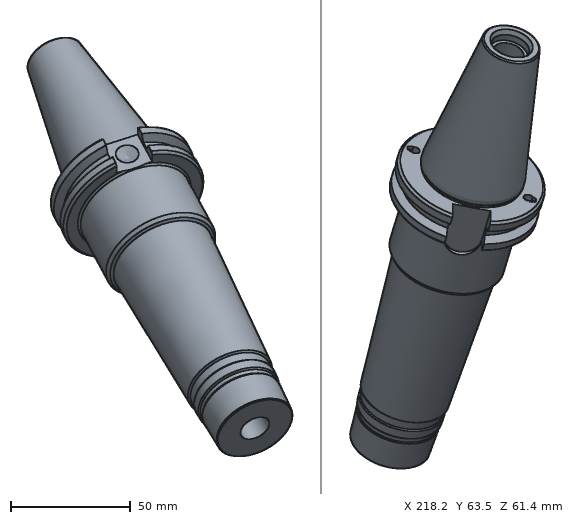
import cadquery as cq
import math

LENGTH = 218.2
TAPER_END = 67.7
FLANGE_START = 71.4
FLANGE_END = 87.3
COLLAR_END = 118.3
BODY_END = 191.2

GAUGE_DIAMETER = 44.5
TAPER_RATIO = 7 / 24
SHANK_CHAMFER = 0.7
RELIEF_DIAMETER = 43.6
RELIEF_START = 70.0

FLANGE_DIAMETER = 63.5
FLANGE_CHAMFER = 1.0
GROOVE_DIAMETER = 56.0
GROOVE_CENTRE = 79.5
GROOVE_FLOOR_WIDTH = 3.5
GROOVE_RIM_WIDTH = 7.0

COLLAR_DIAMETER = 49.5
COLLAR_ROOT_BEVEL = 0.9
COLLAR_EDGE_LENGTH = 1.7
COLLAR_EDGE_DROP = 1.0
COLLAR_SHOULDER_LENGTH = 0.7
BODY_START_DIAMETER = 44.7
BODY_END_DIAMETER = 38.2

NOSE_INSET = 0.7
NOSE_CHAMFER = 0.5
RING_FLANK_LENGTH = 0.7
WIDE_RING_END = 196.5
WIDE_RING_INSET = 0.9
NARROW_RING_START = 200.5
NARROW_RING_END = 203.8
NARROW_RING_INSET = 0.98
LAND_INSET = 0.33

BORE_DIAMETER = 13.0
COUNTERBORE_DIAMETER = 16.4
COUNTERBORE_DEPTH = 5.2
BORE_MOUTH_DIAMETER = 18.3
BORE_MOUTH_DEPTH = 2.2

SLOT_WIDTH = 16.2
UPPER_SLOT_FLOOR = 25.0
LOWER_SLOT_FLOOR = 22.7
DIMPLE_DIAMETER = 9.5
DRILL_POINT_ANGLE = 118

COOLANT_TILT = 20
FACE_HOLE_DIAMETER = 4.1
FACE_HOLE_RADIUS = 26.0
FACE_HOLE_DEPTH = 4.0
SIDE_HOLE_DIAMETER = 3.3
SIDE_HOLE_RADIUS = 27.7
SIDE_HOLE_DEPTH = 1.7
GROOVE_HOLE_DIAMETER = 4.0
GROOVE_HOLE_FLOOR_RADIUS = 25.8


def body_radius(x, inset=0.0):
    """Radius of the body taper at station x, reduced by an inset."""
    slope = (BODY_START_DIAMETER - BODY_END_DIAMETER) / 2 / (BODY_END - COLLAR_END)
    return BODY_START_DIAMETER / 2 - slope * (x - COLLAR_END) - inset


def revolve_about_x(points):
    """Turn an (x, radius) outline about the X axis."""
    return cq.Workplane("XY").polyline(points).close().revolve(360, (0, 0, 0), (1, 0, 0))


def turned_blank():
    gauge_radius = GAUGE_DIAMETER / 2
    tip_radius = gauge_radius - TAPER_END * TAPER_RATIO / 2
    points = [
        (0, 0),
        (0, tip_radius - SHANK_CHAMFER),
        (SHANK_CHAMFER, tip_radius),
        (TAPER_END, gauge_radius),
        (RELIEF_START, gauge_radius),
        (RELIEF_START, RELIEF_DIAMETER / 2),
        (FLANGE_START, RELIEF_DIAMETER / 2),
        (FLANGE_START, FLANGE_DIAMETER / 2 - FLANGE_CHAMFER),
        (FLANGE_START + FLANGE_CHAMFER, FLANGE_DIAMETER / 2),
        (GROOVE_CENTRE - GROOVE_RIM_WIDTH / 2, FLANGE_DIAMETER / 2),
        (GROOVE_CENTRE - GROOVE_FLOOR_WIDTH / 2, GROOVE_DIAMETER / 2),
        (GROOVE_CENTRE + GROOVE_FLOOR_WIDTH / 2, GROOVE_DIAMETER / 2),
        (GROOVE_CENTRE + GROOVE_RIM_WIDTH / 2, FLANGE_DIAMETER / 2),
        (FLANGE_END - FLANGE_CHAMFER, FLANGE_DIAMETER / 2),
        (FLANGE_END, FLANGE_DIAMETER / 2 - FLANGE_CHAMFER),
        (FLANGE_END, COLLAR_DIAMETER / 2 + COLLAR_ROOT_BEVEL),
        (FLANGE_END + COLLAR_ROOT_BEVEL, COLLAR_DIAMETER / 2),
        (COLLAR_END - COLLAR_SHOULDER_LENGTH - COLLAR_EDGE_LENGTH, COLLAR_DIAMETER / 2),
        (COLLAR_END - COLLAR_SHOULDER_LENGTH, COLLAR_DIAMETER / 2 - COLLAR_EDGE_DROP),
        (COLLAR_END, body_radius(COLLAR_END)),
        (BODY_END, body_radius(BODY_END)),
        (BODY_END + RING_FLANK_LENGTH, body_radius(BODY_END, WIDE_RING_INSET)),
        (WIDE_RING_END - RING_FLANK_LENGTH, body_radius(WIDE_RING_END, WIDE_RING_INSET)),
        (WIDE_RING_END, body_radius(WIDE_RING_END, LAND_INSET)),
        (NARROW_RING_START, body_radius(NARROW_RING_START, LAND_INSET)),
        (NARROW_RING_START + RING_FLANK_LENGTH, body_radius(NARROW_RING_START, NARROW_RING_INSET)),
        (NARROW_RING_END - RING_FLANK_LENGTH, body_radius(NARROW_RING_END, NARROW_RING_INSET)),
        (NARROW_RING_END, body_radius(NARROW_RING_END, NOSE_INSET)),
        (LENGTH - NOSE_CHAMFER, body_radius(LENGTH, NOSE_INSET)),
        (LENGTH, body_radius(LENGTH, NOSE_INSET) - NOSE_CHAMFER),
        (LENGTH, 0),
    ]
    return revolve_about_x(points)


def axial_bore():
    return revolve_about_x([
        (0, 0),
        (0, BORE_MOUTH_DIAMETER / 2),
        (BORE_MOUTH_DEPTH, COUNTERBORE_DIAMETER / 2),
        (COUNTERBORE_DEPTH, COUNTERBORE_DIAMETER / 2),
        (COUNTERBORE_DEPTH, BORE_DIAMETER / 2),
        (LENGTH, BORE_DIAMETER / 2),
        (LENGTH, 0),
    ])


def drive_slot(floor_height):
    """Cutter for an upward-facing slot across the flange, rounded where it runs into the collar."""
    depth = FLANGE_DIAMETER / 2
    length = FLANGE_END - FLANGE_START
    channel = cq.Workplane("XY").box(length, SLOT_WIDTH, depth, centered=(False, True, False))
    runout = cq.Workplane("XY").center(length, 0).circle(SLOT_WIDTH / 2).extrude(depth)
    return channel.union(runout).translate((FLANGE_START, 0, floor_height))


def drilled_hole(diameter, depth, mouth, direction):
    """Blind hole with a conical drill point; depth is that of the full diameter."""
    radius = diameter / 2
    point_depth = radius / math.tan(math.radians(DRILL_POINT_ANGLE / 2))
    start = cq.Vector(*mouth)
    axis = cq.Vector(*direction)
    point = cq.Workplane(cq.Solid.makeCone(radius, 0, point_depth, start + axis * depth, axis))
    if depth == 0:
        return point
    return point.union(cq.Workplane(cq.Solid.makeCylinder(radius, depth, start, axis)))


def dimple():
    return drilled_hole(DIMPLE_DIAMETER, 0, (GROOVE_CENTRE, 0, UPPER_SLOT_FLOOR), (0, 0, -1))


def coolant_hole_set():
    """Face hole, side hole and groove hole of the +Y side, before tilting."""
    flange_radius = FLANGE_DIAMETER / 2
    groove_hole_depth = flange_radius - GROOVE_HOLE_FLOOR_RADIUS
    face_hole = drilled_hole(
        FACE_HOLE_DIAMETER, FACE_HOLE_DEPTH, (FLANGE_START, FACE_HOLE_RADIUS, 0), (1, 0, 0)
    )
    side_hole = drilled_hole(
        SIDE_HOLE_DIAMETER, SIDE_HOLE_DEPTH, (FLANGE_START, SIDE_HOLE_RADIUS, 0), (1, 0, 0)
    )
    groove_hole = drilled_hole(
        GROOVE_HOLE_DIAMETER, groove_hole_depth, (GROOVE_CENTRE, flange_radius, 0), (0, -1, 0)
    )
    return face_hole.union(side_hole).union(groove_hole)


upper_slot = drive_slot(UPPER_SLOT_FLOOR)
lower_slot = drive_slot(LOWER_SLOT_FLOOR).rotate((0, 0, 0), (1, 0, 0), 180)

result = turned_blank().cut(axial_bore()).cut(upper_slot).cut(lower_slot).cut(dimple())
for angle in (COOLANT_TILT, COOLANT_TILT + 180):
    result = result.cut(coolant_hole_set().rotate((0, 0, 0), (1, 0, 0), angle))